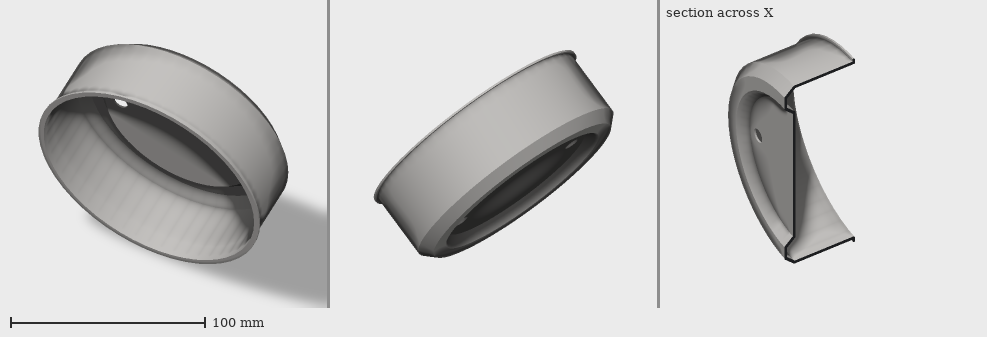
import cadquery as cq
import math

flange_diameter = 128.0
body_diameter = 124.0
depth = 42.0
sheet = 1.0
bevel = 5.6
panel_radius = 43.8
panel_rise = 5.1
hole_diameter = 8.0
hole_offset = 35.0

flange_radius = flange_diameter / 2
body_radius = body_diameter / 2
inner_radius = body_radius - sheet

corner_shift = sheet * math.tan(math.radians(22.5))

floor_inside = depth - sheet
panel_front = floor_inside - panel_rise
panel_back = panel_front + sheet
bevel_start = depth - bevel
step_radius = panel_radius + panel_rise


def make_cup():
    """Revolve the sheet section, including flange, bevel and raised panel."""
    inside = [
        (0, panel_front),
        (panel_radius, panel_front),
        (step_radius, floor_inside),
        (body_radius - bevel - corner_shift, floor_inside),
        (inner_radius, bevel_start - corner_shift),
        (inner_radius, 0),
    ]
    outside = [
        (flange_radius, 0),
        (flange_radius, sheet),
        (body_radius, sheet),
        (body_radius, bevel_start),
        (body_radius - bevel, depth),
        (step_radius - corner_shift, depth),
        (panel_radius - corner_shift, panel_back),
        (0, panel_back),
    ]
    section = cq.Workplane("XY").polyline(inside + outside).close()
    return section.revolve(360, (0, 0, 0), (0, 1, 0))


def make_holes():
    """Two round cutters on the X axis, passing through the whole depth."""
    return (
        cq.Workplane("XZ")
        .pushPoints([(-hole_offset, 0), (hole_offset, 0)])
        .circle(hole_diameter / 2)
        .extrude(-depth)
    )


result = make_cup().cut(make_holes())